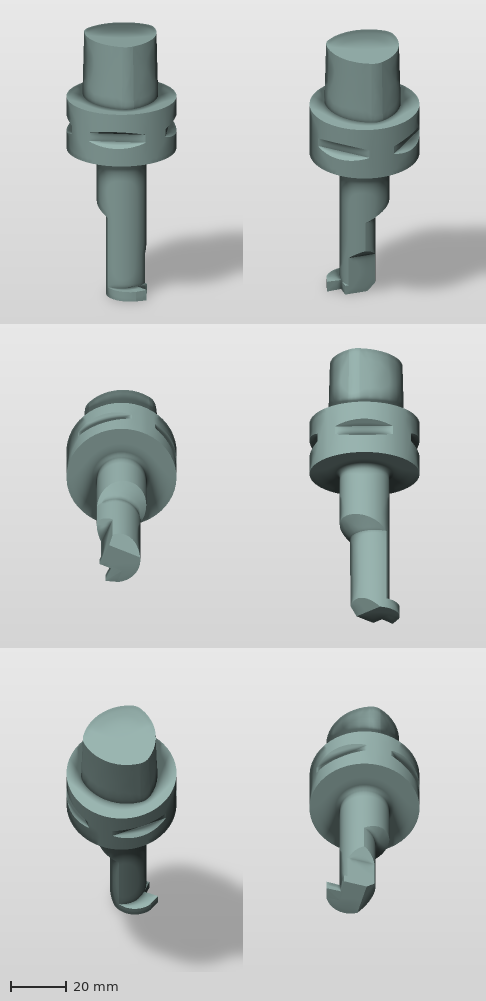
import cadquery as cq
import math

total_height = 99.0
flange_bottom = 55.0
flange_height = 20.0
flange_top = flange_bottom + flange_height

flange_radius = 20.0

slot_count = 4
slot_first_angle = 45.0
slot_floor_distance = 17.0
slot_floor_height = 3.1
slot_wall_angle = 30.0
slot_centre_height = 65.0

lobe_count = 3
lobe_tip_distance = 14.7
flank_distance = 13.1
lobe_radius = 6.0
shank_taper_angle = 1.5
shank_height = total_height - flange_top

bar_radius = 9.0
collar_fillet = 1.5
neck_offset = 5.2
neck_top = 30.6
bar_bottom = 0.2
foot_top = 3.9
foot_reach = neck_offset + bar_radius
flat_distance = 4.7
flat_top = 15.0
corner_chamfer = 4.3

rake_y = 0.0
insert_back_y = -4.1
insert_break_y = -1.5
insert_root_x = 8.2
insert_tip_x = 14.4
insert_break_x = 14.0
insert_back_x = 13.2
insert_top = 4.1
pocket_top = 4.3


def polar(radius, degrees):
    angle = math.radians(degrees)
    return cq.Vector(radius * math.cos(angle), radius * math.sin(angle))


def lobed_outline():
    """Closed outline of lobe arcs and flank arcs that meet tangentially."""
    lobe_centre_distance = lobe_tip_distance - lobe_radius
    flank_reach = flank_distance - lobe_radius
    squares_difference = lobe_centre_distance**2 - flank_reach**2
    flank_centre_distance = squares_difference / (2 * flank_reach - lobe_centre_distance)

    half_pitch = 180 / lobe_count
    first_lobe_angle = 90.0

    def tangent_point(lobe_angle, flank_angle):
        lobe_centre = polar(lobe_centre_distance, lobe_angle)
        flank_centre = polar(-flank_centre_distance, flank_angle)
        return lobe_centre + (lobe_centre - flank_centre).normalized() * lobe_radius

    start = tangent_point(first_lobe_angle, first_lobe_angle - half_pitch)
    outline = cq.Workplane("XY").workplane(offset=flange_top).moveTo(start.x, start.y)
    for i in range(lobe_count):
        lobe_angle = first_lobe_angle + 2 * i * half_pitch
        flank_angle = lobe_angle + half_pitch
        next_lobe_angle = flank_angle + half_pitch
        lobe_tip = polar(lobe_tip_distance, lobe_angle)
        lobe_end = tangent_point(lobe_angle, flank_angle)
        flank_middle = polar(flank_distance, flank_angle)
        flank_end = tangent_point(next_lobe_angle, flank_angle)
        outline = outline.threePointArc(lobe_tip.toTuple()[:2], lobe_end.toTuple()[:2])
        outline = outline.threePointArc(flank_middle.toTuple()[:2], flank_end.toTuple()[:2])
    return outline.close()


def make_slot_cutter(angle):
    """Groove with a flat floor and walls that open outward, facing the given direction."""
    half_floor = slot_floor_height / 2
    depth = flange_radius - slot_floor_distance
    half_mouth = half_floor + depth * math.tan(math.radians(slot_wall_angle))
    return (
        cq.Workplane("XZ", origin=(0, 0, slot_centre_height))
        .moveTo(slot_floor_distance, -half_floor)
        .lineTo(flange_radius, -half_mouth)
        .lineTo(flange_radius, half_mouth)
        .lineTo(slot_floor_distance, half_floor)
        .close()
        .extrude(flange_radius, both=True)
        .rotate((0, 0, 0), (0, 0, 1), angle)
    )


def make_holder():
    """Flange with gripper slots, carrying the tapered shank."""
    flange = cq.Workplane("XY", origin=(0, 0, flange_bottom)).circle(flange_radius).extrude(flange_height)
    for i in range(slot_count):
        flange = flange.cut(make_slot_cutter(slot_first_angle + i * 360 / slot_count))
    shank = lobed_outline().extrude(shank_height, taper=shank_taper_angle)
    return flange.union(shank)


def make_bar_blank():
    """Round bar that flares into a fillet under the flange."""
    fillet_start = flange_bottom - collar_fillet
    flare_radius = bar_radius + collar_fillet
    fillet_leg = collar_fillet * math.sqrt(0.5)
    fillet_middle = (flare_radius - fillet_leg, fillet_start + fillet_leg)
    return (
        cq.Workplane("XZ")
        .moveTo(0, bar_bottom)
        .lineTo(bar_radius, bar_bottom)
        .lineTo(bar_radius, fillet_start)
        .threePointArc(fillet_middle, (flare_radius, flange_bottom))
        .lineTo(0, flange_bottom)
        .close()
        .revolve(360, (0, 0, 0), (0, 1, 0))
    )


def make_neck_envelope():
    """Offset cylinder that opens upward as a 45 degree cone, bounding the slim neck."""
    cone_height = flange_bottom - neck_top
    return (
        cq.Workplane("XZ", origin=(neck_offset, 0, 0))
        .moveTo(0, bar_bottom)
        .lineTo(bar_radius, bar_bottom)
        .lineTo(bar_radius, neck_top)
        .lineTo(bar_radius + cone_height, flange_bottom)
        .lineTo(0, flange_bottom)
        .close()
        .revolve(360, (0, 0, 0), (0, 1, 0))
    )


def make_flat_cutter():
    """Removes the +Y side of the bar end, with a 45 degree run-out."""
    depth = 2 * bar_radius
    return (
        cq.Workplane("YZ")
        .moveTo(flat_distance, 0)
        .lineTo(flat_distance, flat_top)
        .lineTo(flat_distance + depth, flat_top + depth)
        .lineTo(flat_distance + depth, 0)
        .close()
        .extrude(2 * bar_radius, both=True)
    )


def make_corner_cutter():
    """Bevels the lower -X corner of the bar at 45 degrees."""
    neck_left = neck_offset - bar_radius
    return (
        cq.Workplane("XZ")
        .moveTo(neck_left, bar_bottom)
        .lineTo(neck_left + corner_chamfer, bar_bottom)
        .lineTo(neck_left, bar_bottom + corner_chamfer)
        .close()
        .extrude(bar_radius, both=True)
    )


def make_pocket_cutter():
    """Insert seat that reaches a little way into the bar."""
    return (
        cq.Workplane("XY")
        .moveTo(insert_root_x, insert_back_y)
        .lineTo(foot_reach, insert_back_y)
        .lineTo(foot_reach, rake_y)
        .lineTo(insert_root_x, rake_y)
        .close()
        .extrude(pocket_top)
    )


def make_gullet_cutter():
    """Chip space in front of the insert, between the bar and the reach of the foot."""
    return (
        cq.Workplane("XY")
        .moveTo(bar_radius, rake_y)
        .lineTo(foot_reach, rake_y)
        .lineTo(foot_reach, flat_distance)
        .lineTo(bar_radius, flat_distance)
        .close()
        .extrude(pocket_top)
    )


def make_bar():
    """Bar with an offset neck, and a foot that reaches out behind the insert."""
    foot = (
        cq.Workplane("XY", origin=(neck_offset, 0, bar_bottom))
        .circle(bar_radius)
        .extrude(foot_top - bar_bottom)
    )
    bar = make_bar_blank().intersect(make_neck_envelope()).union(foot)
    for cutter in (make_flat_cutter(), make_corner_cutter(), make_pocket_cutter(), make_gullet_cutter()):
        bar = bar.cut(cutter)
    return bar


def make_insert():
    """Blade that widens toward its tip and is relieved behind the cutting edge."""
    plan = (
        cq.Workplane("XY")
        .moveTo(insert_root_x, rake_y)
        .lineTo(insert_tip_x, rake_y)
        .lineTo(insert_break_x, insert_break_y)
        .lineTo(insert_back_x, insert_back_y)
        .lineTo(insert_root_x, insert_back_y)
        .close()
        .extrude(insert_top)
    )
    widening = (
        cq.Workplane("XZ")
        .moveTo(insert_root_x, bar_bottom)
        .lineTo(insert_tip_x, 0)
        .lineTo(insert_tip_x, insert_top)
        .lineTo(insert_root_x, foot_top)
        .close()
        .extrude(-insert_back_y)
    )
    side_relief = (
        cq.Workplane("YZ")
        .moveTo(rake_y, 0)
        .lineTo(rake_y, insert_top)
        .lineTo(insert_back_y, foot_top)
        .lineTo(insert_back_y, bar_bottom)
        .close()
        .extrude(insert_tip_x)
    )
    return plan.intersect(widening).intersect(side_relief)


holder = make_holder()
boring_bar = make_bar()
insert = make_insert()
result = cq.Compound.makeCompound([holder.val(), boring_bar.val(), insert.val()])